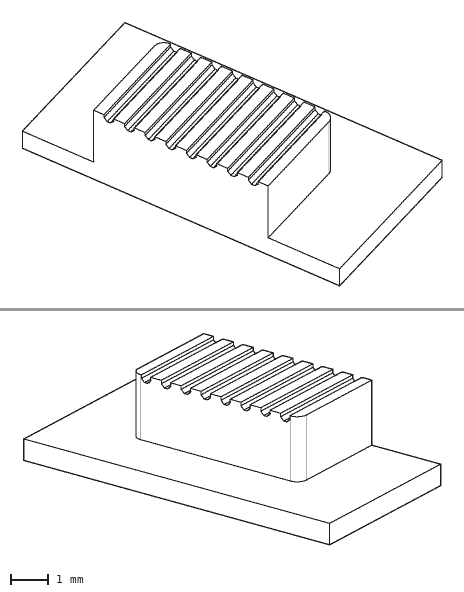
import cadquery as cq

base_length = 10.0
base_depth = 5.05
base_thickness = 0.62
total_height = 2.49

block_width = 5.5
block_depth = 3.28
corner_radius = 0.3

groove_count = 8
groove_pitch = 0.65
groove_width = 0.3
groove_depth = 0.2
groove_bevel = 0.1

front_y = -base_depth / 2


def make_base():
    return cq.Workplane("XY").box(base_length, base_depth, base_thickness, centered=(True, True, False))


def make_block():
    """Block rising from the plate, with its two rear vertical edges rounded."""
    block = cq.Workplane("XY").box(block_width, block_depth, total_height, centered=(True, False, False))
    return block.edges("|Z and >Y").fillet(corner_radius).translate((0, front_y, 0))


def make_groove(x):
    """Cutter with straight upper walls, 45 degree bevels and a flat floor."""
    half_width = groove_width / 2
    half_floor = half_width - groove_bevel
    floor_z = total_height - groove_depth
    bevel_top_z = floor_z + groove_bevel
    return (
        cq.Workplane("XZ", origin=(x, front_y, 0))
        .moveTo(-half_width, total_height)
        .lineTo(-half_width, bevel_top_z)
        .lineTo(-half_floor, floor_z)
        .lineTo(half_floor, floor_z)
        .lineTo(half_width, bevel_top_z)
        .lineTo(half_width, total_height)
        .close()
        .extrude(-block_depth)
    )


result = make_base().union(make_block())

first_groove_x = -groove_pitch * (groove_count - 1) / 2
for index in range(groove_count):
    result = result.cut(make_groove(first_groove_x + index * groove_pitch))